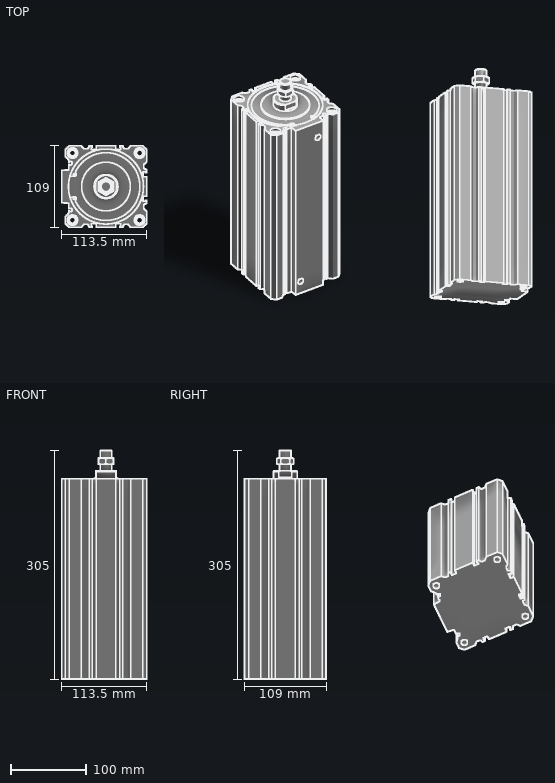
import cadquery as cq
import math

width = 109.0
half_width = width / 2
housing_height = 267.0
corner_circle_diameter = 146.5

relief_outer = 33.0
relief_inner = 29.3
relief_depth = 4.0
relief_fillet = 1.0
lip_root = 24.0
lip_top = 22.3
lip_tip = 18.3
lip_thickness = 1.8
undercut = 19.5
groove_inner = 13.0
groove_depth = 5.0

side_face_x = -49.7
side_slope_outer = 40.3
side_slope_inner = 35.5
side_slope_fillet = 1.2
boss_x = -59.02
boss_half_root = 22.42
boss_half_tip = 21.7
keyhole_y = 31.0
keyhole_diameter = 4.3
keyhole_depth = 2.5
keyhole_mouth = 2.7
keyhole_fillet = 0.5

hole_offset = 44.68
hole_diameter = 8.2
hole_chamfer = 1.2
counterbore_diameter = 13.7
counterbore_depth = 5.0

port_diameter = 8.5
port_depth = 9.0
port_offset = 13.7
upper_port_z = 242.5
lower_port_z = 19.2

seat_diameter = 100.0
seat_depth = 1.8
ring_inner_diameter = 90.3
ring_height = 0.5
ear_hole_x = -42.5
ear_hole_y = 16.2
ring_end_y = 14.0
ear_radius = 2.7
ear_hole_diameter = 2.0
ear_hole_depth = 1.8
cover_boss_diameter = 65.0

rod_top = 305.0
collar_diameter = 32.0
collar_top = 277.2
collar_flats = 27.0
flats_bottom = 268.7
collar_chamfer = 1.0
thread_diameter = 16.0
thread_chamfer = 1.2
nut_bottom = 286.0
nut_top = 294.5
nut_flats = 20.0
nut_top_circle = 19.0
nut_chamfer_angle = 30


def sensor_grooves(angle):
    """Both sensor grooves of one side; angle turns them from the +Y side to another."""
    y = half_width
    relief_floor = y - relief_depth
    relief = [(relief_outer, y), (relief_inner, relief_floor), (lip_root, relief_floor), (lip_top, y)]
    slot = [
        (lip_tip, y),
        (lip_tip, y - lip_thickness),
        (undercut, y - lip_thickness),
        (undercut, y - groove_depth),
        (groove_inner, y - groove_depth),
        (groove_inner, y),
    ]
    relief_cut = cq.Workplane("XY").polyline(relief).close().extrude(housing_height)
    floor_edges = cq.selectors.BoxSelector(
        (0, relief_floor - relief_fillet, 0), (half_width, relief_floor + relief_fillet, housing_height)
    )
    relief_cut = relief_cut.edges("|Z").edges(floor_edges).fillet(relief_fillet)
    slot_cut = cq.Workplane("XY").polyline(slot).close().extrude(housing_height)
    grooves = relief_cut.add(slot_cut).combine()
    grooves = grooves.union(grooves.mirror("YZ"))
    return grooves.rotate((0, 0, 0), (0, 0, 1), angle)


def profile_body():
    points = [
        (half_width, half_width),
        (-half_width, half_width),
        (-half_width, side_slope_outer),
        (side_face_x, side_slope_inner),
        (side_face_x, boss_half_root),
        (boss_x, boss_half_tip),
    ]
    mirrored = [(x, -y) for x, y in reversed(points)]
    body = cq.Workplane("XY").polyline(points + mirrored).close().extrude(housing_height)
    corner_circle = cq.Workplane("XY").circle(corner_circle_diameter / 2).extrude(housing_height)
    body = body.intersect(corner_circle)
    for angle in (0, 180, -90):
        body = body.cut(sensor_grooves(angle))
    return body


def keyhole_slots():
    """Round-bottomed slots on both sides of the port boss."""
    centre_x = side_face_x + keyhole_depth
    places = [(centre_x, keyhole_y), (centre_x, -keyhole_y)]
    rounds = cq.Workplane("XY").pushPoints(places).circle(keyhole_diameter / 2).extrude(housing_height)
    mouths = (
        cq.Workplane("XY")
        .pushPoints([(side_face_x, keyhole_y), (side_face_x, -keyhole_y)])
        .rect(2 * keyhole_depth, keyhole_mouth)
        .extrude(housing_height)
    )
    return rounds.union(mouths)


def ports():
    def port(y, z):
        start = cq.Vector(boss_x, y, z)
        return cq.Solid.makeCylinder(port_diameter / 2, port_depth, start, cq.Vector(1, 0, 0))

    return cq.Workplane("XY").add(port(-port_offset, upper_port_z)).add(port(port_offset, lower_port_z))


def retaining_ring():
    """Open ring on the cover seat, with a round ear and a plier hole at each end."""
    plane = cq.Workplane("XY").workplane(offset=housing_height - seat_depth)
    disc = plane.circle(seat_diameter / 2).extrude(ring_height)
    ring = disc.cut(plane.circle(ring_inner_diameter / 2).extrude(ring_height))
    ring = ring.cut(plane.center(-seat_diameter / 2, 0).rect(seat_diameter, 2 * ring_end_y).extrude(ring_height))
    for side in (1, -1):
        ear = plane.center(ear_hole_x, side * ear_hole_y).circle(ear_radius).extrude(ring_height)
        web = (
            plane.moveTo(-seat_diameter / 2, side * ring_end_y)
            .lineTo(ear_hole_x, side * ring_end_y)
            .lineTo(ear_hole_x, side * (ear_hole_y + ear_radius))
            .lineTo(-seat_diameter / 2, side * (ear_hole_y + ear_radius))
            .close()
            .extrude(ring_height)
        )
        ring = ring.union(ear).union(web.intersect(disc))
    return ring


def ear_holes():
    places = [(ear_hole_x, ear_hole_y), (ear_hole_x, -ear_hole_y)]
    ring_top = housing_height - seat_depth + ring_height
    return (
        cq.Workplane("XY")
        .workplane(offset=ring_top)
        .pushPoints(places)
        .circle(ear_hole_diameter / 2)
        .extrude(-ear_hole_depth)
    )


def mounting_holes():
    """Corner through holes, each with a counterbore and a chamfer at the counterbore floor."""
    radius = hole_diameter / 2
    floor_z = housing_height - counterbore_depth
    half_section = [
        (0, 0),
        (radius, 0),
        (radius, floor_z - hole_chamfer),
        (radius + hole_chamfer, floor_z),
        (counterbore_diameter / 2, floor_z),
        (counterbore_diameter / 2, housing_height),
        (0, housing_height),
    ]
    hole = cq.Workplane("XZ").polyline(half_section).close().revolve(360, (0, 0, 0), (0, 1, 0))
    holes = cq.Workplane("XY")
    for x in (hole_offset, -hole_offset):
        for y in (hole_offset, -hole_offset):
            holes = holes.add(hole.translate((x, y, 0)))
    return holes


def round_side_edges(body):
    """Round the outer edges of the side slopes and the boss-side edges of the keyhole slots."""
    rounded_edges = (
        (-half_width, side_slope_outer, side_slope_fillet),
        (side_face_x, keyhole_y - keyhole_mouth / 2, keyhole_fillet),
    )
    for x, y, radius in rounded_edges:
        for side_y in (y, -y):
            edge = cq.selectors.NearestToPointSelector((x, side_y, housing_height / 2))
            body = body.edges("|Z").edges(edge).fillet(radius)
    return body


def make_housing():
    body = round_side_edges(profile_body().cut(keyhole_slots()))
    body = body.cut(ports()).cut(mounting_holes())
    seat_plane = cq.Workplane("XY").workplane(offset=housing_height - seat_depth)
    body = body.cut(seat_plane.circle(seat_diameter / 2).extrude(seat_depth))
    body = body.union(seat_plane.circle(cover_boss_diameter / 2).extrude(seat_depth))
    return body.union(retaining_ring()).cut(ear_holes())


def make_collar():
    height = collar_top - housing_height
    collar = (
        cq.Workplane("XY")
        .workplane(offset=housing_height)
        .circle(collar_diameter / 2)
        .extrude(height)
        .faces(">Z")
        .chamfer(collar_chamfer)
    )
    radius = collar_diameter / 2
    outline = [
        (collar_flats / 2, collar_top),
        (collar_flats / 2, flats_bottom),
        (radius, housing_height),
        (radius, collar_top),
    ]
    flat = cq.Workplane("XZ").polyline(outline).close().extrude(radius, both=True)
    return collar.cut(flat).cut(flat.mirror("YZ"))


def make_nut():
    """Hexagon with its corners at +Y and -Y, trimmed by a cone at each end."""
    height = nut_top - nut_bottom
    corner_radius = nut_flats / 2 / math.cos(math.pi / 6)
    slope = math.tan(math.radians(nut_chamfer_angle))
    bottom_radius = nut_flats / 2
    top_radius = nut_top_circle / 2
    half_section = [
        (0, nut_bottom),
        (bottom_radius, nut_bottom),
        (corner_radius, nut_bottom + (corner_radius - bottom_radius) * slope),
        (corner_radius, nut_top - (corner_radius - top_radius) * slope),
        (top_radius, nut_top),
        (0, nut_top),
    ]
    blank = cq.Workplane("XZ").polyline(half_section).close().revolve(360, (0, 0, 0), (0, 1, 0))
    plane = cq.Workplane("XY").workplane(offset=nut_bottom)
    hexagon = plane.polygon(6, 2 * corner_radius).extrude(height).rotate((0, 0, 0), (0, 0, 1), 30)
    return hexagon.intersect(blank)


def make_rod():
    thread = (
        cq.Workplane("XY")
        .workplane(offset=collar_top)
        .circle(thread_diameter / 2)
        .extrude(rod_top - collar_top)
        .faces(">Z")
        .chamfer(thread_chamfer)
    )
    return make_collar().union(thread).union(make_nut())


housing = make_housing()
rod = make_rod()
result = cq.Compound.makeCompound([housing.val(), rod.val()])